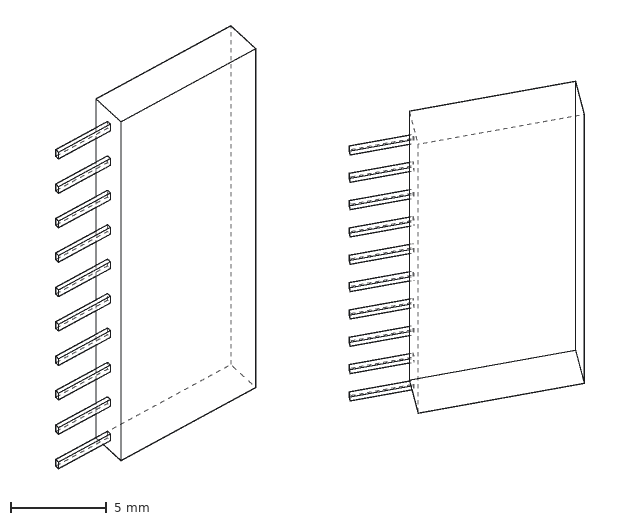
import cadquery as cq

body_thickness = 2.15
body_depth = 8.9
body_height = 25.0

pin_count = 10
pin_row_span = 22.85
pin_width = 0.25
pin_height = 0.5
pin_length = 3.42
pin_offset = 0.05
pin_drop = 0.05
pin_pitch = pin_row_span / (pin_count - 1)


def make_body():
    """Body centred on X and Z, with its pin face at Y = 0."""
    return cq.Workplane("XY").box(
        body_thickness, body_depth, body_height, centered=(True, False, True)
    )


def make_pins():
    """Row of pins along Z, starting on the pin face."""
    return (
        cq.Workplane("XZ")
        .center(pin_offset, -pin_drop)
        .rarray(pin_pitch, pin_pitch, 1, pin_count)
        .rect(pin_width, pin_height)
        .extrude(pin_length)
    )


result = make_body().union(make_pins())